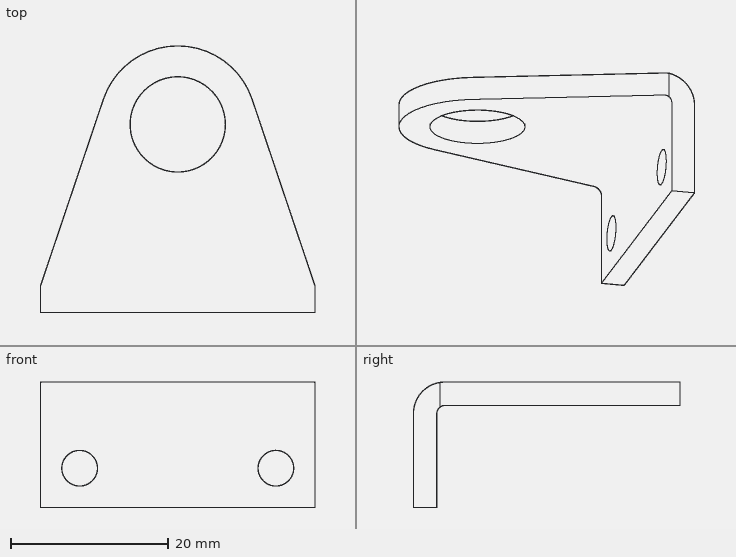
import cadquery as cq
import math

width = 35.0
height = 16.0
thickness = 3.0
inner_bend_radius = 1.0
outer_bend_radius = inner_bend_radius + thickness

end_radius = 10.0
end_center_y = 23.98
depth = end_center_y + end_radius
large_hole_diameter = 12.1

taper_start_y = 3.4

mount_hole_diameter = 4.5
mount_hole_spacing = 25.0
mount_hole_height = 5.0


def bent_sheet():
    """L-shaped sheet with a rounded bend, at full width and depth."""
    corner = (0, height)
    inner_corner_y = thickness
    inner_corner_z = height - thickness
    diagonal = math.sqrt(0.5)
    outer_mid = (
        corner[0] + outer_bend_radius * (1 - diagonal),
        corner[1] - outer_bend_radius * (1 - diagonal),
    )
    inner_mid = (
        inner_corner_y + inner_bend_radius * (1 - diagonal),
        inner_corner_z - inner_bend_radius * (1 - diagonal),
    )
    return (
        cq.Workplane("YZ", origin=(-width / 2, 0, 0))
        .moveTo(0, 0)
        .lineTo(0, height - outer_bend_radius)
        .threePointArc(outer_mid, (outer_bend_radius, height))
        .lineTo(depth, height)
        .lineTo(depth, inner_corner_z)
        .lineTo(outer_bend_radius, inner_corner_z)
        .threePointArc(inner_mid, (inner_corner_y, height - outer_bend_radius))
        .lineTo(inner_corner_y, 0)
        .close()
        .extrude(width)
    )


def plate_outline():
    """Prism of the plan shape: straight base, tangent tapers and a round end.

    It is as tall as the bracket. The flange lies within the straight base.
    """
    half_width = width / 2
    drop = end_center_y - taper_start_y
    distance = math.hypot(half_width, drop)
    tangent_angle = math.acos(end_radius / distance) - math.atan2(drop, half_width)
    tangent_x = end_radius * math.cos(tangent_angle)
    tangent_y = end_center_y + end_radius * math.sin(tangent_angle)
    return (
        cq.Workplane("XY")
        .moveTo(-half_width, 0)
        .lineTo(half_width, 0)
        .lineTo(half_width, taper_start_y)
        .lineTo(tangent_x, tangent_y)
        .threePointArc((0, depth), (-tangent_x, tangent_y))
        .lineTo(-half_width, taper_start_y)
        .close()
        .extrude(height)
    )


def large_hole():
    return (
        cq.Workplane("XY")
        .center(0, end_center_y)
        .circle(large_hole_diameter / 2)
        .extrude(height)
    )


def mount_holes():
    half_spacing = mount_hole_spacing / 2
    return (
        cq.Workplane("XZ")
        .pushPoints([(side * half_spacing, mount_hole_height) for side in (-1, 1)])
        .circle(mount_hole_diameter / 2)
        .extrude(-thickness)
    )


result = bent_sheet().intersect(plate_outline()).cut(large_hole()).cut(mount_holes())